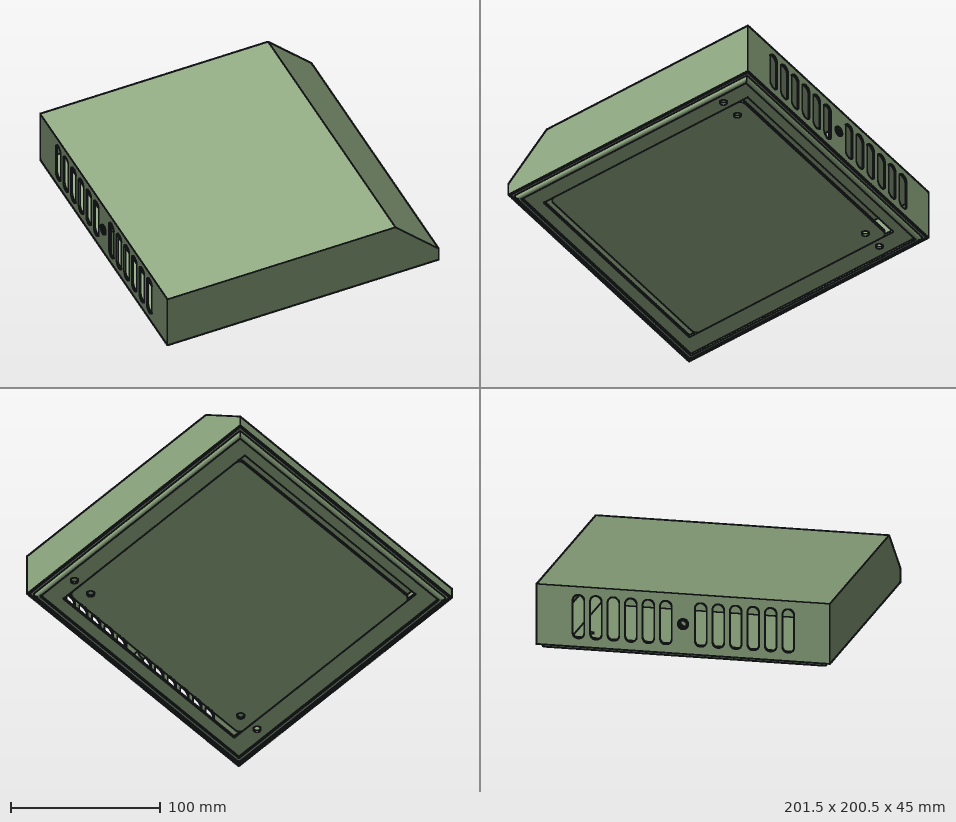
import cadquery as cq
import math

total_width = 201.5
total_depth = 200.5
total_height = 45.0

sheet = 1.2
hood_height = 41.9
slope_run = 32.0
bushing_protrusion = 0.8
hood_depth = total_depth - bushing_protrusion
front_y = -hood_depth / 2
back_y = hood_depth / 2
mid_z = hood_height / 2

vent_width = 8.0
vent_length = 30.2
vent_span = 144.0
vents_per_side = 6
vent_pitch = vent_span / (2 * vents_per_side)

floor_top = 1.0
floor_thickness = 2.0
rim_inset = 3.2
rim_width = 3.0
rim_rounding = 2.0
rim_height = total_height - hood_height

opening_width = 162.3
opening_margin = 15.0
panel_gap = 5.0
panel_corner = 4.0

hole_diameter = 5.0
hole_margin = 30.8
panel_hole_x = 71.3
floor_hole_x = 86.8

flange_diameter = 7.0
bushing_diameter = 6.5
bore_diameter = 5.0
bushing_length = 8.0
bore_depth = 4.0

nut_plate_width = 15.7
nut_plate_top = 34.2
nut_plate_thickness = 1.0

plate_width = 132.1
plate_top = 32.8
plate_thickness = 2.0
plate_corner = 7.0


def hood_profile(offset):
    """Side outline of the hood with front, top, slope and back moved inward by offset."""
    front = front_y + offset
    back = back_y - offset
    top = hood_height - offset
    slope_sum = back_y + hood_height - slope_run - offset * math.sqrt(2)
    return (
        cq.Workplane("YZ")
        .polyline([
            (front, 0),
            (back, 0),
            (back, slope_sum - back),
            (slope_sum - top, top),
            (front, top),
        ])
        .close()
    )


def front_wall_plane():
    """Plane on the outer front face, centred on the hood's height, with its normal toward -Y."""
    return cq.Workplane("XZ", origin=(0, front_y, mid_z))


def make_hood():
    outside = hood_profile(0).extrude(total_width / 2, both=True)
    inside = hood_profile(sheet).extrude(total_width / 2 - sheet, both=True)
    vent_places = [
        (side * number * vent_pitch, 0)
        for side in (-1, 1)
        for number in range(1, vents_per_side + 1)
    ]
    vents = (
        front_wall_plane()
        .pushPoints(vent_places)
        .slot2D(vent_length, vent_width, 90)
        .extrude(-sheet)
    )
    bushing_hole = front_wall_plane().circle(bushing_diameter / 2).extrude(-sheet)
    return outside.cut(inside).cut(vents).cut(bushing_hole)


def block(width, depth, bottom, top):
    """Box centred on the Z axis between two heights."""
    return cq.Workplane("XY").workplane(offset=bottom).rect(width, depth).extrude(top - bottom)


def small_holes(x):
    """Cutters for a mirrored pair of holes through the floor or the panel."""
    return (
        cq.Workplane("XY", origin=(0, front_y + hole_margin, floor_top))
        .pushPoints([(-x, 0), (x, 0)])
        .circle(hole_diameter / 2)
        .extrude(-floor_thickness)
    )


def make_base():
    floor_bottom = floor_top - floor_thickness
    rim_x = total_width - 2 * rim_inset
    rim_y = hood_depth - 2 * rim_inset
    rim = block(rim_x, rim_y, -rim_height, 0).faces("<Z").edges().fillet(rim_rounding)
    floor = block(total_width - 2 * sheet, hood_depth - 2 * sheet, 0, floor_top)
    underside = block(rim_x - 2 * rim_width, rim_y - 2 * rim_width, -rim_height, floor_bottom)
    opening = block(opening_width, hood_depth - 2 * opening_margin, floor_bottom, floor_top)
    return rim.union(floor).cut(underside).cut(opening).cut(small_holes(floor_hole_x))


def make_panel():
    depth = hood_depth - 2 * (opening_margin + panel_gap)
    panel = block(opening_width, depth, floor_top - floor_thickness, floor_top)
    return panel.edges("|Z").fillet(panel_corner).cut(small_holes(panel_hole_x))


def make_bushing():
    flange = front_wall_plane().circle(flange_diameter / 2).extrude(bushing_protrusion)
    barrel = front_wall_plane().circle(bushing_diameter / 2).extrude(-bushing_length)
    return flange.union(barrel).faces("<Y").workplane().hole(bore_diameter, bore_depth)


def make_nut_plate():
    plate = block(nut_plate_width, nut_plate_thickness, floor_top, nut_plate_top)
    placed = plate.translate((0, front_y + sheet + nut_plate_thickness / 2, 0))
    return placed.cut(front_wall_plane().circle(bushing_diameter / 2).extrude(-bushing_length))


def make_plate():
    plate = block(plate_width, plate_thickness, floor_top, plate_top)
    return plate.faces(">Z").edges("|Y").fillet(plate_corner)


hood = make_hood()
base = make_base()
panel = make_panel()
bushing = make_bushing()
nut_plate = make_nut_plate()
plate = make_plate()

result = cq.Compound.makeCompound([
    hood.val(),
    base.val(),
    panel.val(),
    bushing.val(),
    nut_plate.val(),
    plate.val(),
])